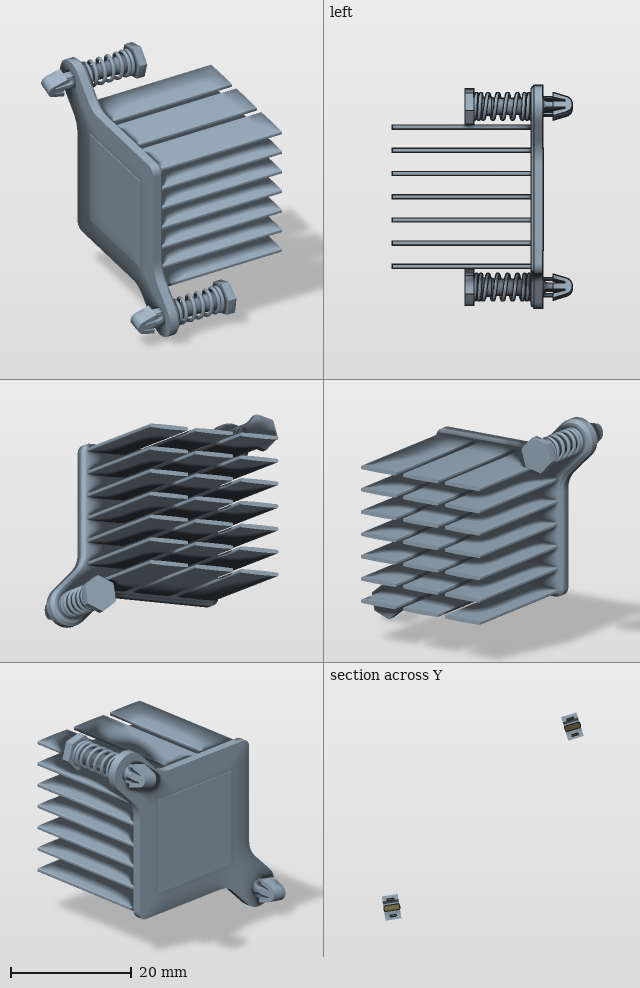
import cadquery as cq
import math


OVERALL = 37.0
PLATE_SIDE = 25.38
PLATE_THICKNESS = 2.0
PLATE_CORNER_RADIUS = 1.48
PLATE_CHAMFER = 0.5
EAR_RADIUS = 3.5
EAR_ROOT_FILLET = 4.5
EAR_CENTER = OVERALL / 2 - EAR_RADIUS
PIN_HOLE_DIAMETER = 3.45

FIN_COLUMNS = 3
FIN_ROWS = 7
FIN_COLUMN_PITCH = 8.4
FIN_ROW_PITCH = 3.85
FIN_WIDTH = 7.03
FIN_HEIGHT = 23.0
FIN_EDGE_THICKNESS = 0.6
FIN_CROWN = 0.07
FIN_EDGE_FILLET = 0.2

PAD_SIDE = 16.95
PAD_THICKNESS = 0.1
PAD_Z_OFFSET = -0.4

HEAD_CORNER_DIAMETER = 6.15
HEAD_THICKNESS = 1.48
HEAD_SEAT = 11.45
COLLAR_DIAMETER = 3.05
COLLAR_END = 8.5
COLLAR_TAPER = 0.4
SHANK_DIAMETER = 2.75
BARB_WIDTH = 2.65
BARB_HALF_SPAN = 2.05
BARB_BACK = -1.63
BARB_SHOULDER = -3.9
BARB_SHOULDER_HALF_SPAN = 1.35
BARB_TIP = -4.9
LEG_WIDTH = 1.2
LEG_OUTER = 1.55
LEG_INNER = 1.2
LEG_ROOT = 0.37
CORE_HALF_THICKNESS = 0.5
SLOT_TIP = -3.63
SLOT_TIP_WIDTH = 0.22
SLOT_ROOT = -0.1

WIRE_DIAMETER = 0.6
SPRING_MEAN_RADIUS = 2.05
END_PITCH = 0.75
END_TURNS = 2
ACTIVE_PITCH = 1.63
ACTIVE_TURNS = 4
SPRING_START = PLATE_THICKNESS - 0.07
POINTS_PER_TURN = 16

PINS = [(-1, 17.0), (1, 9.0)]


def on_xz(y):
    """Workplane parallel to XZ at height y; a negative extrusion rises toward +Y."""
    return cq.Workplane(cq.Plane(origin=(0, y, 0), xDir=(1, 0, 0), normal=(0, -1, 0)))


def cylinder(diameter, y_low, y_high):
    return on_xz(y_low).circle(diameter / 2).extrude(y_low - y_high)


def ear_position(x_sign):
    return (x_sign * EAR_CENTER, 0, -x_sign * EAR_CENTER)


def make_plate():
    square = on_xz(0).rect(PLATE_SIDE, PLATE_SIDE).extrude(-PLATE_THICKNESS)
    ears = (
        on_xz(0)
        .slot2D(2 * EAR_CENTER * math.sqrt(2) + 2 * EAR_RADIUS, 2 * EAR_RADIUS, -45)
        .extrude(-PLATE_THICKNESS)
    )
    plate = square.union(ears)

    half = PLATE_SIDE / 2
    ear_root = half - EAR_RADIUS * math.sqrt(2)
    mid = PLATE_THICKNESS / 2
    for sign in (-1, 1):
        corner = cq.selectors.NearestToPointSelector((sign * half, mid, sign * half))
        plate = plate.edges(corner).fillet(PLATE_CORNER_RADIUS)
        for x, z in ((sign * half, -sign * ear_root), (sign * ear_root, -sign * half)):
            root = cq.selectors.NearestToPointSelector((x, mid, z))
            plate = plate.edges(root).fillet(EAR_ROOT_FILLET)
    plate = plate.faces(">Y").chamfer(PLATE_CHAMFER)

    for x_sign, _ in PINS:
        plate = plate.cut(cylinder(PIN_HOLE_DIAMETER, 0, PLATE_THICKNESS).translate(ear_position(x_sign)))
    return plate


def make_fin():
    """Thin fin with slightly crowned faces and rounded edges."""
    half_width = FIN_WIDTH / 2
    half_edge = FIN_EDGE_THICKNESS / 2
    crown = half_edge + FIN_CROWN
    return (
        on_xz(PLATE_THICKNESS)
        .moveTo(-half_width, -half_edge)
        .threePointArc((0, -crown), (half_width, -half_edge))
        .lineTo(half_width, half_edge)
        .threePointArc((0, crown), (-half_width, half_edge))
        .close()
        .extrude(-FIN_HEIGHT)
        .edges("|Y")
        .fillet(FIN_EDGE_FILLET)
    )


def make_heat_sink():
    sink = make_plate()
    fin = make_fin()
    for column in range(FIN_COLUMNS):
        x = (column - (FIN_COLUMNS - 1) / 2) * FIN_COLUMN_PITCH
        for row in range(FIN_ROWS):
            z = (row - (FIN_ROWS - 1) / 2) * FIN_ROW_PITCH
            sink = sink.union(fin.translate((x, 0, z)))
    return sink


def make_pad():
    return on_xz(0).center(0, PAD_Z_OFFSET).rect(PAD_SIDE, PAD_SIDE).extrude(PAD_THICKNESS)


def make_pin_head():
    """Hexagonal head with a corner pointing along the barb (Z)."""
    return (
        on_xz(HEAD_SEAT)
        .transformed(rotate=(0, 0, 90))
        .polygon(6, HEAD_CORNER_DIAMETER)
        .extrude(-HEAD_THICKNESS)
    )


def make_pin_shaft():
    """Collar under the head, tapering to the thinner shank."""
    collar_radius = COLLAR_DIAMETER / 2
    shank_radius = SHANK_DIAMETER / 2
    return (
        cq.Workplane("XY")
        .moveTo(0, BARB_BACK)
        .lineTo(shank_radius, BARB_BACK)
        .lineTo(shank_radius, COLLAR_END - COLLAR_TAPER)
        .lineTo(collar_radius, COLLAR_END)
        .lineTo(collar_radius, HEAD_SEAT)
        .lineTo(0, HEAD_SEAT)
        .close()
        .revolve(360, (0, 0, 0), (0, 1, 0))
    )


def make_barb():
    """Arrow-shaped snap end: a (Y, Z) outline extruded along X."""
    return (
        cq.Workplane("YZ")
        .moveTo(BARB_BACK, -BARB_HALF_SPAN)
        .lineTo(BARB_SHOULDER, -BARB_SHOULDER_HALF_SPAN)
        .threePointArc((BARB_TIP, 0), (BARB_SHOULDER, BARB_SHOULDER_HALF_SPAN))
        .lineTo(BARB_BACK, BARB_HALF_SPAN)
        .close()
        .extrude(BARB_WIDTH / 2, both=True)
    )


def make_barb_slot():
    """Slot between the core and the upper leg, rounded where the leg joins the shank."""
    radius = LEG_INNER - CORE_HALF_THICKNESS
    arc_center_y = SLOT_ROOT - radius
    arc_offset = radius * math.sqrt(0.5)
    return (
        cq.Workplane("YZ")
        .moveTo(SLOT_TIP, CORE_HALF_THICKNESS)
        .lineTo(arc_center_y, CORE_HALF_THICKNESS)
        .threePointArc((arc_center_y + arc_offset, LEG_INNER - arc_offset), (SLOT_ROOT, LEG_INNER))
        .lineTo(BARB_BACK, LEG_INNER)
        .lineTo(SLOT_TIP, CORE_HALF_THICKNESS + SLOT_TIP_WIDTH)
        .close()
        .extrude(SHANK_DIAMETER, both=True)
    )


def make_pin():
    legs = on_xz(LEG_ROOT).rect(LEG_WIDTH, 2 * LEG_OUTER).extrude(LEG_ROOT - BARB_BACK)
    slot = make_barb_slot()
    return (
        make_pin_head()
        .union(make_pin_shaft())
        .union(legs)
        .union(make_barb())
        .cut(slot)
        .cut(slot.mirror("XY"))
    )


def spring_point(turn):
    """Centre of the wire after a number of turns: close end coils, wide active coils."""
    active = min(max(turn - END_TURNS, 0), ACTIVE_TURNS)
    y = SPRING_START + END_PITCH * (turn - active) + ACTIVE_PITCH * active
    angle = 2 * math.pi * turn
    return cq.Vector(SPRING_MEAN_RADIUS * math.sin(angle), y, -SPRING_MEAN_RADIUS * math.cos(angle))


def make_spring():
    """Coil spring with its ends ground flat against the plate and the pin head."""
    turns = 2 * END_TURNS + ACTIVE_TURNS
    steps = turns * POINTS_PER_TURN
    path = cq.Edge.makeSpline([spring_point(step / POINTS_PER_TURN) for step in range(steps + 1)])
    start = cq.Plane(origin=path.startPoint(), normal=path.tangentAt(0))
    wire = cq.Workplane(start).circle(WIRE_DIAMETER / 2).sweep(cq.Workplane(path), isFrenet=True)
    return wire.intersect(cylinder(4 * SPRING_MEAN_RADIUS, PLATE_THICKNESS, HEAD_SEAT))


heat_sink = make_heat_sink()
pad = make_pad()
base_pin = make_pin()
base_spring = make_spring()
pins = []
springs = []
for x_sign, turn_angle in PINS:
    place = ear_position(x_sign)
    pins.append(base_pin.rotate((0, 0, 0), (0, 1, 0), turn_angle).translate(place).solids().val())
    springs.append(base_spring.translate(place).solids().val())

result = cq.Compound.makeCompound([heat_sink.solids().val(), pad.val(), *pins, *springs])